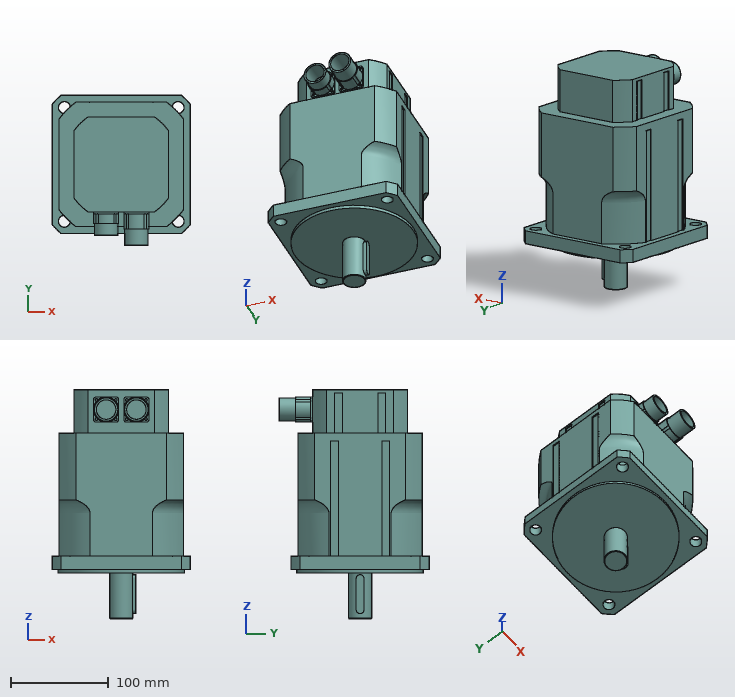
import cadquery as cq
import math


FLANGE_WIDTH = 142.0
FLANGE_CORNER_DIA = 188.0
FLANGE_THICKNESS = 13.9
PILOT_DIA = 130.0
PILOT_HEIGHT = 3.5
BOLT_OFFSET = 58.3
BOLT_HOLE_DIA = 12.0

HOUSING_WIDTH = 127.5
HOUSING_CORNER_DIA = 158.0
HOUSING_TOP = 139.8
RELIEF_DIA = 142.6
RELIEF_STRAIGHT_TOP = 57.5
RELIEF_TOP = 71.5

CAP_WIDTH = 97.3
CAP_CORNER_DIA = 119.0
CAP_TOP = 184.5

GROOVE_WIDTH = 8.0
GROOVE_DEPTH = 1.2
HOUSING_GROOVE_OFFSET = 26.3
HOUSING_GROOVE_TOP = 131.8
CAP_GROOVE_OFFSET = 22.0
CAP_GROOVE_TOP = 181.0

SHAFT_DIA = 24.0
SHAFT_END = CAP_TOP - 235.0
SHAFT_CHAMFER = 0.7
KEY_WIDTH = 8.0
KEY_LENGTH = 40.0
KEY_OUTER_X = 15.0
KEY_TOP = -5.2

CONNECTOR_OFFSET = 15.5
CONNECTOR_Z = 164.0
PLATE_WIDTH = 25.8
PLATE_THICKNESS = 2.0
PLATE_CORNER_RADIUS = 2.8
COLLAR_DIA = PLATE_WIDTH
BARREL_DIA = 24.0
BORE_DIA = 20.0
SCREW_OFFSET = 9.9
SCREW_HOLE_DIA = 2.5
SHORT_COLLAR_END = 11.8
SHORT_LENGTH = 24.2
LONG_COLLAR_END = 17.5
LONG_LENGTH = 34.3


def rounded_corner_block(width, corner_dia, bottom, top):
    """Square block whose corners are cut by a cylinder about the Z axis."""
    height = top - bottom
    block = cq.Workplane("XY").workplane(offset=bottom).rect(width, width).extrude(height)
    corner = cq.Workplane("XY").workplane(offset=bottom).circle(corner_dia / 2).extrude(height)
    return block.intersect(corner)


def corner_relief():
    """Ring that trims the lower housing corners, fading out in a concave arc at the top."""
    inner = RELIEF_DIA / 2
    outer = HOUSING_CORNER_DIA / 2
    height = RELIEF_TOP - RELIEF_STRAIGHT_TOP
    step = outer - inner
    radius = (height**2 + step**2) / (2 * step)
    half_angle = math.asin(height / radius) / 2
    arc_middle = (
        inner + radius * (1 - math.cos(half_angle)),
        RELIEF_STRAIGHT_TOP + radius * math.sin(half_angle),
    )
    clear = HOUSING_WIDTH
    return (
        cq.Workplane("XZ")
        .moveTo(inner, FLANGE_THICKNESS)
        .lineTo(inner, RELIEF_STRAIGHT_TOP)
        .threePointArc(arc_middle, (outer, RELIEF_TOP))
        .lineTo(clear, RELIEF_TOP)
        .lineTo(clear, FLANGE_THICKNESS)
        .close()
        .revolve(360, (0, 0, 0), (0, 1, 0))
    )


def side_grooves(block_width, offset, bottom, top):
    """Two grooves on each X side of a block."""
    return (
        cq.Workplane("XY")
        .workplane(offset=bottom)
        .rect(block_width, 2 * offset, forConstruction=True)
        .vertices()
        .rect(2 * GROOVE_DEPTH, GROOVE_WIDTH)
        .extrude(top - bottom)
    )


def make_flange():
    flange = rounded_corner_block(FLANGE_WIDTH, FLANGE_CORNER_DIA, 0, FLANGE_THICKNESS)
    bolt_holes = (
        cq.Workplane("XY")
        .rect(2 * BOLT_OFFSET, 2 * BOLT_OFFSET, forConstruction=True)
        .vertices()
        .circle(BOLT_HOLE_DIA / 2)
        .extrude(FLANGE_THICKNESS)
    )
    pilot = cq.Workplane("XY").circle(PILOT_DIA / 2).extrude(-PILOT_HEIGHT)
    return flange.cut(bolt_holes).union(pilot)


def make_housing():
    housing = rounded_corner_block(HOUSING_WIDTH, HOUSING_CORNER_DIA, FLANGE_THICKNESS, HOUSING_TOP)
    grooves = side_grooves(HOUSING_WIDTH, HOUSING_GROOVE_OFFSET, FLANGE_THICKNESS, HOUSING_GROOVE_TOP)
    return housing.cut(corner_relief()).cut(grooves)


def make_cap():
    cap = rounded_corner_block(CAP_WIDTH, CAP_CORNER_DIA, HOUSING_TOP, CAP_TOP)
    return cap.cut(side_grooves(CAP_WIDTH, CAP_GROOVE_OFFSET, HOUSING_TOP, CAP_GROOVE_TOP))


def make_shaft():
    """Shaft with a round-ended key on its +X side."""
    shaft = cq.Workplane("XY").circle(SHAFT_DIA / 2).extrude(SHAFT_END)
    shaft = shaft.faces("<Z").chamfer(SHAFT_CHAMFER)
    key = (
        cq.Workplane("YZ")
        .center(0, KEY_TOP - KEY_LENGTH / 2)
        .slot2D(KEY_LENGTH, KEY_WIDTH, 90)
        .extrude(KEY_OUTER_X)
    )
    return shaft.union(key)


def make_motor():
    return make_flange().union(make_housing()).union(make_cap()).union(make_shaft())


def make_connector(x, collar_end, length):
    """Socket on a square plate: a collar with four screw channels, then a bored barrel."""
    base = cq.Workplane("XZ", origin=(x, -CAP_WIDTH / 2, CONNECTOR_Z))
    plate_face = base.workplane(offset=PLATE_THICKNESS)
    plate = base.rect(PLATE_WIDTH, PLATE_WIDTH).extrude(PLATE_THICKNESS)
    plate = plate.edges("|Y").fillet(PLATE_CORNER_RADIUS)
    collar = plate_face.circle(COLLAR_DIA / 2).extrude(collar_end - PLATE_THICKNESS)
    barrel = plate_face.circle(BARREL_DIA / 2).extrude(length - PLATE_THICKNESS)

    channel_radius = SCREW_OFFSET * math.sqrt(2) - BARREL_DIA / 2
    screw_square = 2 * SCREW_OFFSET
    channels = (
        plate_face.rect(screw_square, screw_square, forConstruction=True)
        .vertices()
        .circle(channel_radius)
        .extrude(collar_end - PLATE_THICKNESS)
    )
    screw_holes = (
        base.rect(screw_square, screw_square, forConstruction=True)
        .vertices()
        .circle(SCREW_HOLE_DIA / 2)
        .extrude(PLATE_THICKNESS)
    )
    bore = plate_face.circle(BORE_DIA / 2).extrude(length - PLATE_THICKNESS)
    return plate.cut(screw_holes).union(collar.cut(channels)).union(barrel).cut(bore)


motor = make_motor()

connectors = []
for x, collar_end, length in (
    (-CONNECTOR_OFFSET, SHORT_COLLAR_END, SHORT_LENGTH),
    (CONNECTOR_OFFSET, LONG_COLLAR_END, LONG_LENGTH),
):
    connectors.append(make_connector(x, collar_end, length))

result = cq.Compound.makeCompound(
    [*motor.solids().vals(), *[connector.solids().val() for connector in connectors]]
)